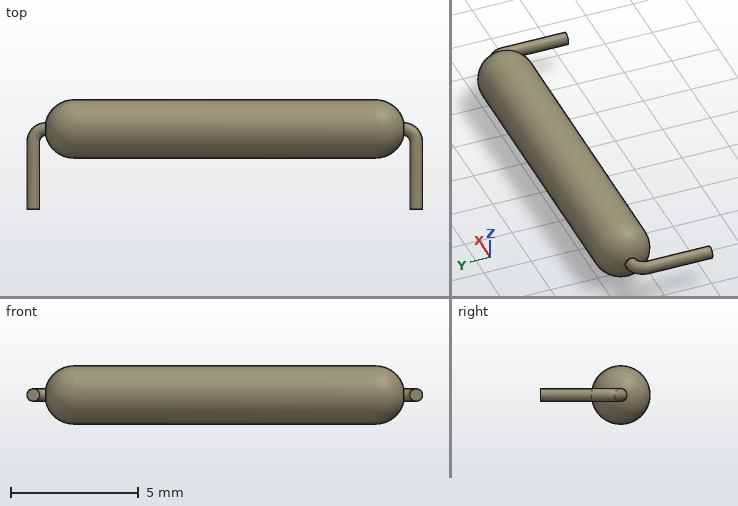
import cadquery as cq

capsule_diameter = 2.3
capsule_length = 14.1
capsule_radius = capsule_diameter / 2
barrel_length = capsule_length - capsule_diameter

lead_diameter = 0.5
lead_pitch = 15.0
lead_bend_radius = 0.5
lead_bend_angle = 90
lead_reach = 3.15
lead_radius = lead_diameter / 2
leg_x = lead_pitch / 2
leg_length = lead_reach - lead_bend_radius


def make_lead(side):
    """One bent lead; side is +1 for the +X end and -1 for the -X end."""
    bend_end = (side * leg_x, -lead_bend_radius)
    leg = (
        cq.Workplane("XZ", origin=(*bend_end, 0))
        .circle(lead_radius)
        .extrude(leg_length)
    )
    bend = (
        cq.Workplane("XZ", origin=(*bend_end, 0))
        .circle(lead_radius)
        .revolve(
            lead_bend_angle,
            (-side * lead_bend_radius, 0),
            (-side * lead_bend_radius, side),
        )
    )
    return leg.union(bend).solids()


def make_capsule():
    """Cylindrical barrel with a hemisphere at each end."""
    full_turn = 360
    half_barrel = barrel_length / 2
    half_length = capsule_length / 2
    return (
        cq.Workplane("XY")
        .moveTo(-half_length, 0)
        .radiusArc((-half_barrel, capsule_radius), capsule_radius)
        .lineTo(half_barrel, capsule_radius)
        .radiusArc((half_length, 0), capsule_radius)
        .close()
        .revolve(full_turn, (0, 0), (1, 0))
    )


leads = [make_lead(side) for side in (-1, 1)]

capsule = make_capsule()
for lead in leads:
    capsule = capsule.cut(lead).solids()

result = cq.Compound.makeCompound([capsule.val(), *[lead.val() for lead in leads]])